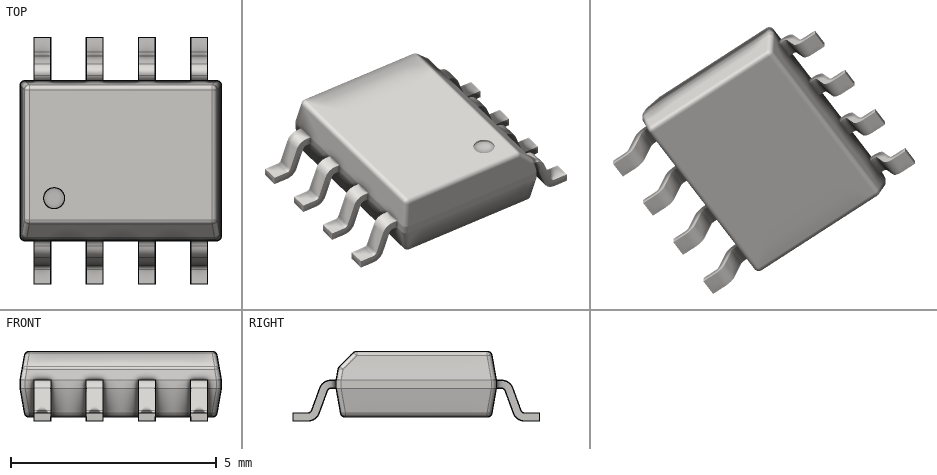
import cadquery as cq
import math

body_length = 4.9
body_width = 3.9
body_bottom = 0.1
body_top = 1.7
draft_angle = 10.0
bevel_size = 0.4
edge_radius = 0.125

mark_diameter = 0.51
mark_depth = 0.05
mark_x = -1.62
mark_y = -0.91

lead_span = 6.0
lead_width = 0.41
lead_pitch = 1.27
leads_per_side = 4
lead_thickness = 0.2
foot_length = 0.36
inner_bend_radius = 0.1
outer_bend_radius = inner_bend_radius + lead_thickness
bend_angle = 70.0
lead_top = 1.0
lead_underside = lead_top - lead_thickness
lead_embed = 0.3

TOLERANCE = 1e-4


def drafted_half(height, direction):
    """Half of the body, tapering away from the vertical parting band."""
    start = lead_top if direction > 0 else lead_underside
    return (
        cq.Workplane("XY")
        .rect(body_length, body_width)
        .extrude(direction * height, taper=draft_angle)
        .translate((0, 0, start))
    )


def make_blank():
    band = (
        cq.Workplane("XY", origin=(0, 0, lead_underside))
        .rect(body_length, body_width)
        .extrude(lead_thickness)
    )
    upper = drafted_half(body_top - lead_top, 1)
    lower = drafted_half(lead_underside - body_bottom, -1)
    return band.union(upper).union(lower)


def cut_bevel(body):
    """Cut the 45 degree bevel along the whole -Y top edge.

    The cutter overshoots the body by one bevel size at both ends of the slope.
    """
    bevel_low = body_top - bevel_size
    draft_slope = math.tan(math.radians(draft_angle))
    side_y = -body_width / 2 + (bevel_low - lead_top) * draft_slope
    cutter = (
        cq.Workplane("YZ")
        .moveTo(side_y - bevel_size, bevel_low - bevel_size)
        .lineTo(side_y + 2 * bevel_size, body_top + bevel_size)
        .lineTo(side_y - bevel_size, body_top + bevel_size)
        .close()
        .extrude(body_length / 2, both=True)
    )
    return body.cut(cutter)


def is_band_line(edge):
    """True for the horizontal edges bounding the parting band."""
    box = edge.BoundingBox()
    is_level = box.zlen < TOLERANCE
    on_band = min(abs(box.center.z - lead_top), abs(box.center.z - lead_underside)) < TOLERANCE
    return is_level and on_band


def round_edges(body):
    rounded = [edge for edge in body.edges().vals() if not is_band_line(edge)]
    return body.newObject(rounded).fillet(edge_radius)


def cut_mark(body):
    mark = (
        cq.Workplane("XY", origin=(mark_x, mark_y, body_top - mark_depth))
        .circle(mark_diameter / 2)
        .extrude(mark_depth)
    )
    return body.cut(mark)


def arc_point(center, radius, degrees):
    angle = math.radians(degrees)
    return (center[0] + radius * math.cos(angle), center[1] + radius * math.sin(angle))


def make_lead():
    """One +Y lead centred on X = 0: shoulder, two opposite bends and a flat foot."""
    turn = math.radians(bend_angle)
    tip_y = lead_span / 2
    root_y = body_width / 2 - lead_embed

    foot_center = (tip_y - foot_length, outer_bend_radius)
    shoulder_z = lead_top - outer_bend_radius
    radius_sum = inner_bend_radius + outer_bend_radius
    leg_drop = shoulder_z - foot_center[1] + radius_sum * math.cos(turn)
    leg_run = leg_drop / math.tan(turn)
    shoulder_center = (foot_center[0] - radius_sum * math.sin(turn) - leg_run, shoulder_z)

    shoulder_end = 90 - bend_angle
    shoulder_mid = 90 - bend_angle / 2
    foot_start = 270 - bend_angle
    foot_mid = 270 - bend_angle / 2

    return (
        cq.Workplane("YZ")
        .moveTo(root_y, lead_top)
        .lineTo(shoulder_center[0], lead_top)
        .threePointArc(
            arc_point(shoulder_center, outer_bend_radius, shoulder_mid),
            arc_point(shoulder_center, outer_bend_radius, shoulder_end),
        )
        .lineTo(*arc_point(foot_center, inner_bend_radius, foot_start))
        .threePointArc(
            arc_point(foot_center, inner_bend_radius, foot_mid),
            (foot_center[0], lead_thickness),
        )
        .lineTo(tip_y, lead_thickness)
        .lineTo(tip_y, 0)
        .lineTo(foot_center[0], 0)
        .threePointArc(
            arc_point(foot_center, outer_bend_radius, foot_mid),
            arc_point(foot_center, outer_bend_radius, foot_start),
        )
        .lineTo(*arc_point(shoulder_center, inner_bend_radius, shoulder_end))
        .threePointArc(
            arc_point(shoulder_center, inner_bend_radius, shoulder_mid),
            (shoulder_center[0], lead_underside),
        )
        .lineTo(root_y, lead_underside)
        .close()
        .extrude(lead_width / 2, both=True)
    )


def add_leads(body):
    lead = make_lead()
    opposite_lead = lead.mirror("XZ")
    for index in range(leads_per_side):
        lead_x = (index - (leads_per_side - 1) / 2) * lead_pitch
        body = body.union(lead.translate((lead_x, 0, 0)))
        body = body.union(opposite_lead.translate((lead_x, 0, 0)))
    return body


body = round_edges(cut_bevel(make_blank()))
result = add_leads(cut_mark(body))